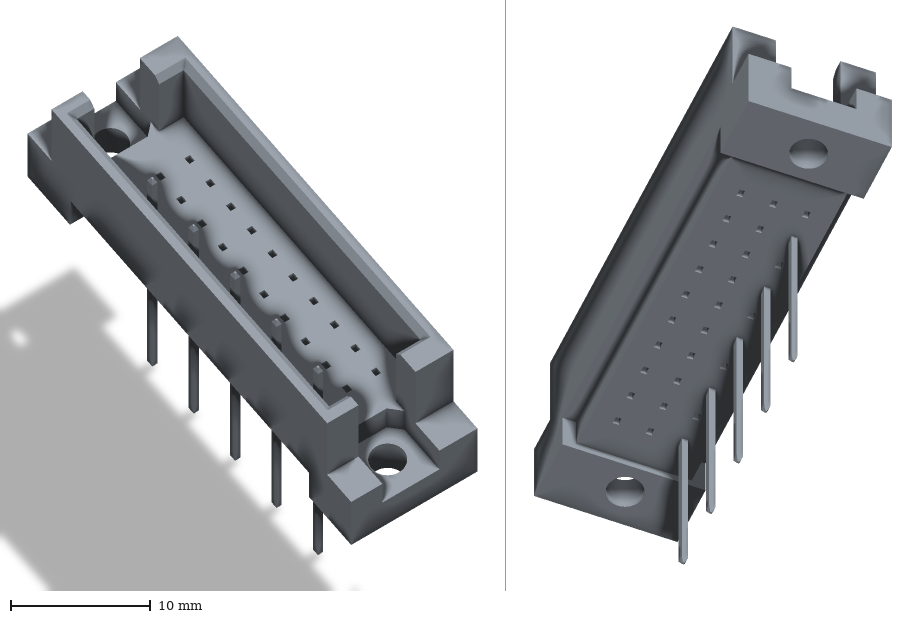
import cadquery as cq

base_length = 39.8
width = 11.1
overall_height = 24.6
ear_height = 5.3
shroud_length = 33.9
shroud_height = 11.62

cavity_floor = ear_height
wall_thickness = 1.2
back_cavity_length = 29.15
front_cavity_length = 31.05
rim_chamfer = 0.5

back_wall_depth = 3.35
front_wall_depth = 2.75
slot_width = width - back_wall_depth - front_wall_depth
slot_y = (front_wall_depth - back_wall_depth) / 2

inner_length = 29.37
pocket_floor = 3.0
pocket_bevel = 0.9
mount_spacing = 34.05
mount_diameter = 2.8

underside_height = 0.6
recess_depth = 1.07
recess_top = pocket_floor

pitch = 2.55
columns = 10
rows = 3
grid_x = 0.15
pin_x = 0.6
pin_y = 0.48
pin_top_inset = 1.55
pin_top = shroud_height - pin_top_inset
pin_bottom = shroud_height - overall_height
tip_height = 0.4
tip_scale = 0.3

column_places = [grid_x + (i - (columns - 1) / 2) * pitch for i in range(columns)]
row_places = [(i - (rows - 1) / 2) * pitch for i in range(rows)]
pin_columns = column_places[1::2]
pin_row = row_places[0]


def block(length, depth, bottom, top, y=0.0):
    """Upright box centred on X = 0 and on the given Y."""
    return (
        cq.Workplane("XY", origin=(0, y, bottom))
        .rect(length, depth)
        .extrude(top - bottom)
    )


def half_cavity(length, side):
    """Half of the shroud cavity on one side (+1 back, -1 front), widened by the rim chamfer."""
    depth = width / 2 - wall_thickness
    cavity = block(length, 2 * depth, cavity_floor, shroud_height)
    rim = (
        cq.Workplane("XY", origin=(0, 0, shroud_height))
        .rect(length + 2 * rim_chamfer, 2 * (depth + rim_chamfer))
        .workplane(offset=-rim_chamfer)
        .rect(length, 2 * depth)
        .loft(ruled=True)
    )
    kept_side = block(base_length, width, cavity_floor, shroud_height, slot_y + side * width / 2)
    return cavity.union(rim).intersect(kept_side)


def ear_pockets():
    """Lowered ends of the slot, each with bevelled corners at its inner end."""
    pocket_length = (base_length - inner_length) / 2
    pocket = (
        block(pocket_length, slot_width, pocket_floor, ear_height, slot_y)
        .edges("|Z and >X")
        .chamfer(pocket_bevel)
        .translate((-(inner_length + pocket_length) / 2, 0, 0))
    )
    return pocket.union(pocket.mirror("YZ"))


def mount_holes():
    return (
        cq.Workplane("XY", origin=(0, slot_y, 0))
        .pushPoints([(-mount_spacing / 2, 0), (mount_spacing / 2, 0)])
        .circle(mount_diameter / 2)
        .extrude(ear_height)
    )


def underside_cut():
    """Raised underside between the ears, with a taller recess along each long side."""
    cut = block(inner_length, width, 0, underside_height)
    for side in (-1, 1):
        recess_y = side * (width - recess_depth) / 2
        cut = cut.union(block(inner_length, recess_depth, 0, recess_top, recess_y))
    return cut


def contact_holes():
    return (
        cq.Workplane("XY")
        .pushPoints([(x, y) for x in column_places for y in row_places])
        .rect(pin_x, pin_y)
        .extrude(cavity_floor)
    )


def make_housing():
    base = block(base_length, width, 0, ear_height)
    shroud = block(shroud_length, width, ear_height, shroud_height)
    slot = block(base_length, slot_width, cavity_floor, shroud_height, slot_y)
    return (
        base.union(shroud)
        .cut(slot)
        .cut(half_cavity(back_cavity_length, 1))
        .cut(half_cavity(front_cavity_length, -1))
        .cut(ear_pockets())
        .cut(mount_holes())
        .cut(underside_cut())
        .cut(contact_holes())
    )


def pin_tip(x, shoulder, end):
    """Tapered pin end from the full section at the shoulder to a small flat."""
    return (
        cq.Workplane("XY", origin=(x, pin_row, shoulder))
        .rect(pin_x, pin_y)
        .workplane(offset=end - shoulder)
        .rect(pin_x * tip_scale, pin_y * tip_scale)
        .loft(ruled=True)
    )


def make_pin(x):
    lower_shoulder = pin_bottom + tip_height
    upper_shoulder = pin_top - tip_height
    shank = (
        cq.Workplane("XY", origin=(x, pin_row, lower_shoulder))
        .rect(pin_x, pin_y)
        .extrude(upper_shoulder - lower_shoulder)
    )
    return (
        shank.union(pin_tip(x, lower_shoulder, pin_bottom))
        .union(pin_tip(x, upper_shoulder, pin_top))
    )


housing = make_housing()
pins = [make_pin(x).val() for x in pin_columns]

result = cq.Compound.makeCompound([housing.val(), *pins])